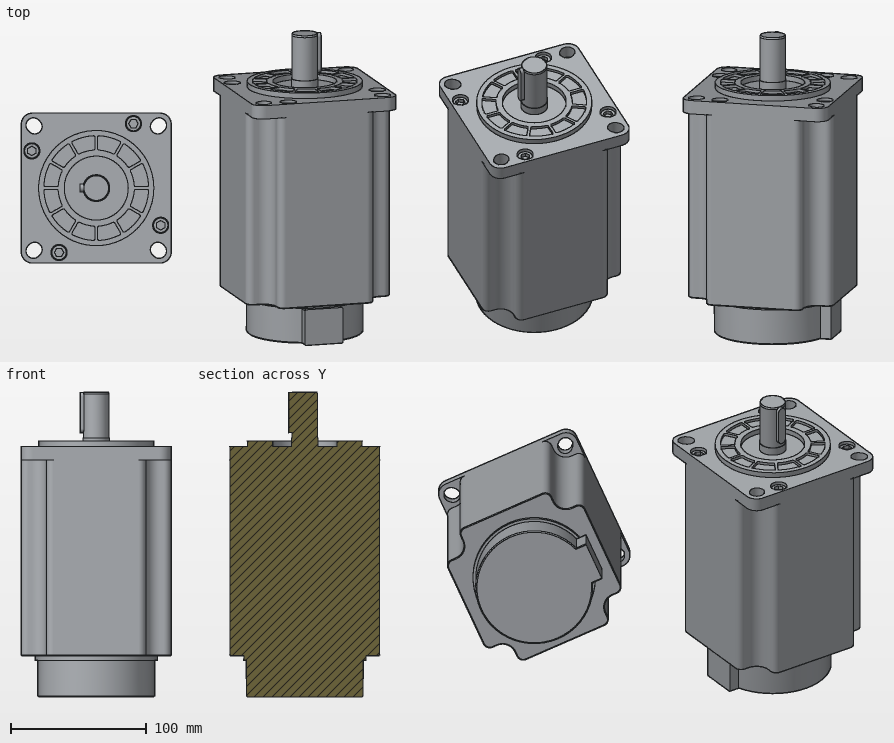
import cadquery as cq
import math


TOTAL_HEIGHT = 225.0
STEP_RING_BOTTOM = 27.0
BODY_BOTTOM = 30.4
FLANGE_BOTTOM = 174.8
FLANGE_TOP = 185.0
PILOT_TOP = 189.0
COLLAR_TOP = 191.0

SIDE = 111.0
HALF_SIDE = SIDE / 2
FLANGE_CORNER_RADIUS = 8.5
BODY_EDGE_CHAMFER = 0.7

RELIEF_INSET = 8.8
RELIEF_RADIUS = 10.0
RELIEF_LIP_RADIUS = 5.2

STEP_RING_RADIUS = 45.2
COVER_RADIUS = 43.2
COVER_EDGE_CHAMFER = 1.0
CONNECTOR_WIDTH = 29.2
CONNECTOR_REACH = 48.4
CONNECTOR_EDGE_CHAMFER = 0.7

PILOT_RADIUS = 42.5
RECESS_RADIUS = 23.6
POCKET_COUNT = 12
POCKET_INNER_RADIUS = 28.1
POCKET_OUTER_RADIUS = 38.7
POCKET_RIB = 2.0
POCKET_DEPTH = 2.0
POCKET_CORNER_RADIUS = 1.1

SLOT_OFFSET = 46.0
SLOT_WIDTH = 10.8
SLOT_LENGTH = 12.2

SCREW_CIRCLE_RADIUS = 55.0
SCREW_START_ANGLE = 60
SCREW_BORE_DIAMETER = 12.0
SCREW_BORE_DEPTH = 5.6
SCREW_HEAD_DIAMETER = 10.5
SCREW_HEAD_DROP = 2.0
SCREW_SOCKET_FLATS = 6.0
SCREW_SOCKET_DEPTH = 3.0

SHAFT_DIAMETER = 19.1
COLLAR_DIAMETER = 19.8
SHAFT_CHAMFER_HEIGHT = 1.4
SHAFT_CHAMFER_INSET = 0.5
KEY_DROP = 0.2
KEY_LENGTH = 30.0
KEY_WIDTH = 6.0
KEY_REACH = 12.0


def cylinder(radius, bottom, top):
    return cq.Workplane("XY").workplane(offset=bottom).circle(radius).extrude(top - bottom)


def square_block(bottom, top):
    return cq.Workplane("XY").workplane(offset=bottom).rect(SIDE, SIDE).extrude(top - bottom)


def make_body():
    """Square body whose corners are hollowed by quarter-round reliefs with rounded lips."""
    body = square_block(BODY_BOTTOM, FLANGE_BOTTOM)
    height = FLANGE_BOTTOM - BODY_BOTTOM
    wall = RELIEF_INSET + RELIEF_RADIUS
    arc_mid = RELIEF_INSET + RELIEF_RADIUS * math.sqrt(0.5)
    lip_mid = RELIEF_LIP_RADIUS * (1 - math.sqrt(0.5))
    lip_end = wall + RELIEF_LIP_RADIUS
    relief = (
        cq.Workplane("XY")
        .moveTo(0, 0)
        .lineTo(lip_end, 0)
        .threePointArc((wall + lip_mid, lip_mid), (wall, RELIEF_LIP_RADIUS))
        .lineTo(wall, RELIEF_INSET)
        .threePointArc((arc_mid, arc_mid), (RELIEF_INSET, wall))
        .lineTo(RELIEF_LIP_RADIUS, wall)
        .threePointArc((lip_mid, wall + lip_mid), (0, lip_end))
        .close()
        .extrude(height)
        .translate((-HALF_SIDE, -HALF_SIDE, BODY_BOTTOM))
    )
    for quarter in range(4):
        body = body.cut(relief.rotate((0, 0, 0), (0, 0, 1), 90 * quarter))
    return body.faces("<Z").chamfer(BODY_EDGE_CHAMFER)


def make_rear_cover():
    """Step ring, round rear cover and the connector block on its +Y side."""
    ring = cylinder(STEP_RING_RADIUS, STEP_RING_BOTTOM, BODY_BOTTOM)
    cover = cylinder(COVER_RADIUS, 0, STEP_RING_BOTTOM).faces("<Z").chamfer(COVER_EDGE_CHAMFER)
    connector = (
        cq.Workplane("XY")
        .box(CONNECTOR_WIDTH, CONNECTOR_REACH, STEP_RING_BOTTOM, centered=(True, False, False))
        .edges("|Y")
        .chamfer(CONNECTOR_EDGE_CHAMFER)
    )
    return ring.union(cover).union(connector)


def make_flange():
    """Square mounting flange with rounded corners and a slot in each corner."""
    flange = square_block(FLANGE_BOTTOM, FLANGE_TOP).edges("|Z").fillet(FLANGE_CORNER_RADIUS)
    slot = (
        cq.Workplane("XY")
        .slot2D(SLOT_LENGTH, SLOT_WIDTH, 45)
        .extrude(FLANGE_TOP - FLANGE_BOTTOM)
        .translate((SLOT_OFFSET, SLOT_OFFSET, FLANGE_BOTTOM))
    )
    for quarter in range(4):
        flange = flange.cut(slot.rotate((0, 0, 0), (0, 0, 1), 90 * quarter))
    return flange


def add_screws(motor):
    """Sink four socket head screws into the flange, one near each side."""
    bore_floor = FLANGE_TOP - SCREW_BORE_DEPTH
    head_top = FLANGE_TOP - SCREW_HEAD_DROP
    bore = cylinder(SCREW_BORE_DIAMETER / 2, bore_floor, FLANGE_TOP)
    head = cylinder(SCREW_HEAD_DIAMETER / 2, bore_floor, head_top)
    socket = (
        cq.Workplane("XY")
        .workplane(offset=head_top - SCREW_SOCKET_DEPTH)
        .polygon(6, SCREW_SOCKET_FLATS, circumscribed=True)
        .extrude(SCREW_SOCKET_DEPTH)
        .rotate((0, 0, 0), (0, 0, 1), 30)
    )
    first_cavity = (
        bore.cut(head.cut(socket))
        .translate((SCREW_CIRCLE_RADIUS, 0, 0))
        .rotate((0, 0, 0), (0, 0, 1), SCREW_START_ANGLE)
    )
    for quarter in range(4):
        motor = motor.cut(first_cavity.rotate((0, 0, 0), (0, 0, 1), 90 * quarter))
    return motor


def make_pocket():
    """One pocket just above the X axis, bounded by parallel-sided ribs."""
    bottom = PILOT_TOP - POCKET_DEPTH
    pitch = 360 / POCKET_COUNT
    band = cylinder(POCKET_OUTER_RADIUS, bottom, PILOT_TOP).cut(
        cylinder(POCKET_INNER_RADIUS, bottom, PILOT_TOP)
    )
    span = 2 * POCKET_OUTER_RADIUS
    half_plane = cq.Workplane("XY").box(2 * span, span, span, centered=(True, False, True))
    above_lower_rib = half_plane.translate((0, POCKET_RIB / 2, PILOT_TOP))
    below_upper_rib = above_lower_rib.mirror("XZ").rotate((0, 0, 0), (0, 0, 1), pitch)
    pocket = band.intersect(above_lower_rib).intersect(below_upper_rib)
    return pocket.edges("|Z").fillet(POCKET_CORNER_RADIUS)


def make_pilot():
    """Pilot disc with a ring of shallow pockets around an opening down to the flange."""
    pilot = cylinder(PILOT_RADIUS, FLANGE_TOP, PILOT_TOP)
    pilot = pilot.cut(cylinder(RECESS_RADIUS, FLANGE_TOP, PILOT_TOP))
    pocket = make_pocket()
    for index in range(POCKET_COUNT):
        turn = 360 / POCKET_COUNT * index
        pilot = pilot.cut(pocket.rotate((0, 0, 0), (0, 0, 1), turn))
    return pilot


def make_shaft():
    """Collar, chamfered shaft and a round-ended key on the -X side."""
    collar = cylinder(COLLAR_DIAMETER / 2, FLANGE_BOTTOM, COLLAR_TOP)
    shaft = (
        cylinder(SHAFT_DIAMETER / 2, COLLAR_TOP, TOTAL_HEIGHT)
        .faces(">Z")
        .chamfer(SHAFT_CHAMFER_HEIGHT, SHAFT_CHAMFER_INSET)
    )
    key = (
        cq.Workplane("YZ")
        .slot2D(KEY_LENGTH, KEY_WIDTH, 90)
        .extrude(-KEY_REACH)
        .translate((0, 0, TOTAL_HEIGHT - KEY_DROP - KEY_LENGTH / 2))
    )
    return collar.union(shaft).union(key)


motor = make_body().union(make_rear_cover()).union(make_flange()).union(make_pilot())
result = add_screws(motor).union(make_shaft())